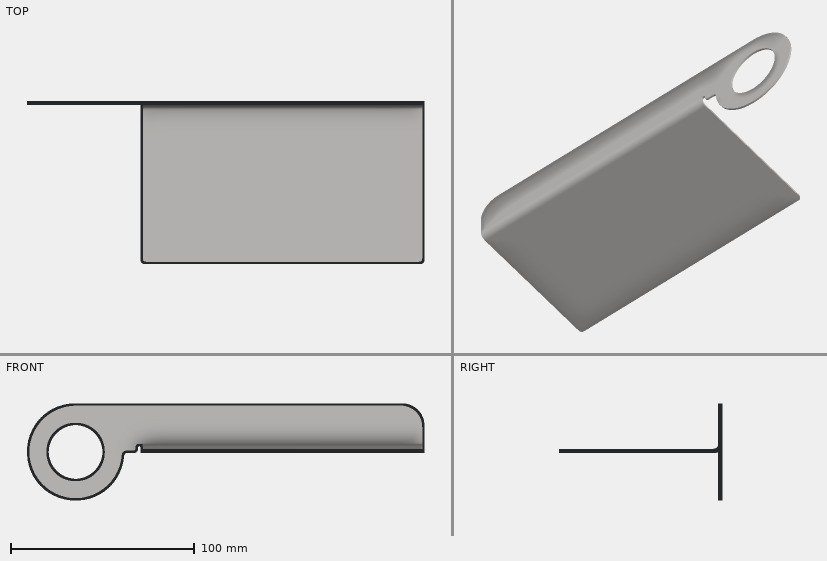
import cadquery as cq
import math

sheet = 1.2
bend_inner_radius = 2.55
bend_outer_radius = bend_inner_radius + sheet

ring_radius = 26.0
ring_hole_diameter = 30.5
overall_length = 216.0
web_end_x = overall_length - ring_radius
web_corner_radius = 12.0

flange_length = 154.0
flange_depth = 88.0
flange_bottom_z = 0.0
flange_corner_radius = 2.0
flange_start_x = web_end_x - flange_length
bend_top_z = flange_bottom_z + bend_outer_radius

relief_width = 2.5
relief_corner_radius = relief_width / 2
relief_start_x = flange_start_x - relief_width
ledge_z = flange_bottom_z
ledge_corner_radius = 2.0
ring_fillet_radius = 2.0

DIAGONAL = math.sqrt(0.5)


def make_web():
    """Flat web with the ring, the ledge beside it and the rounded relief slot."""
    fillet_z = ledge_z - ring_fillet_radius
    fillet_x = math.sqrt((ring_radius + ring_fillet_radius) ** 2 - fillet_z**2)
    touch_ratio = ring_radius / (ring_radius + ring_fillet_radius)
    ring_touch = (fillet_x * touch_ratio, fillet_z * touch_ratio)
    fillet_angle = (math.pi / 2 + math.atan2(-fillet_z, -fillet_x)) / 2
    fillet_mid = (
        fillet_x + ring_fillet_radius * math.cos(fillet_angle),
        fillet_z + ring_fillet_radius * math.sin(fillet_angle),
    )
    ring_mid = (-ring_radius * DIAGONAL, -ring_radius * DIAGONAL)
    web_corner_mid = (
        web_end_x - web_corner_radius * (1 - DIAGONAL),
        ring_radius - web_corner_radius * (1 - DIAGONAL),
    )
    ledge_corner_mid = (
        relief_start_x - ledge_corner_radius * (1 - DIAGONAL),
        ledge_z + ledge_corner_radius * (1 - DIAGONAL),
    )
    relief_mid = (relief_start_x + relief_corner_radius, bend_top_z)
    relief_spring_z = bend_top_z - relief_corner_radius

    outline = (
        cq.Workplane("XZ")
        .moveTo(0, ring_radius)
        .lineTo(web_end_x - web_corner_radius, ring_radius)
        .threePointArc(web_corner_mid, (web_end_x, ring_radius - web_corner_radius))
        .lineTo(web_end_x, bend_top_z)
        .lineTo(flange_start_x, bend_top_z)
        .lineTo(flange_start_x, relief_spring_z)
        .threePointArc(relief_mid, (relief_start_x, relief_spring_z))
        .lineTo(relief_start_x, ledge_z + ledge_corner_radius)
        .threePointArc(ledge_corner_mid, (relief_start_x - ledge_corner_radius, ledge_z))
        .lineTo(fillet_x, ledge_z)
        .threePointArc(fillet_mid, ring_touch)
        .threePointArc(ring_mid, (0, ring_radius))
        .close()
    )
    ring_hole = cq.Workplane("XZ").circle(ring_hole_diameter / 2).extrude(sheet)
    return outline.extrude(sheet).cut(ring_hole)


def make_flange():
    """Bend and horizontal flange, extruded along X from one YZ profile."""
    bend_y = -bend_outer_radius
    flange_top_z = flange_bottom_z + sheet
    outer_mid = (bend_y + bend_outer_radius * DIAGONAL, bend_top_z - bend_outer_radius * DIAGONAL)
    inner_mid = (bend_y + bend_inner_radius * DIAGONAL, bend_top_z - bend_inner_radius * DIAGONAL)
    flange = (
        cq.Workplane("YZ", origin=(flange_start_x, 0, 0))
        .moveTo(0, bend_top_z)
        .threePointArc(outer_mid, (bend_y, flange_bottom_z))
        .lineTo(-flange_depth, flange_bottom_z)
        .lineTo(-flange_depth, flange_top_z)
        .lineTo(bend_y, flange_top_z)
        .threePointArc(inner_mid, (-sheet, bend_top_z))
        .close()
        .extrude(flange_length)
    )
    return flange.edges("|Z and <Y").fillet(flange_corner_radius)


result = make_web().union(make_flange())